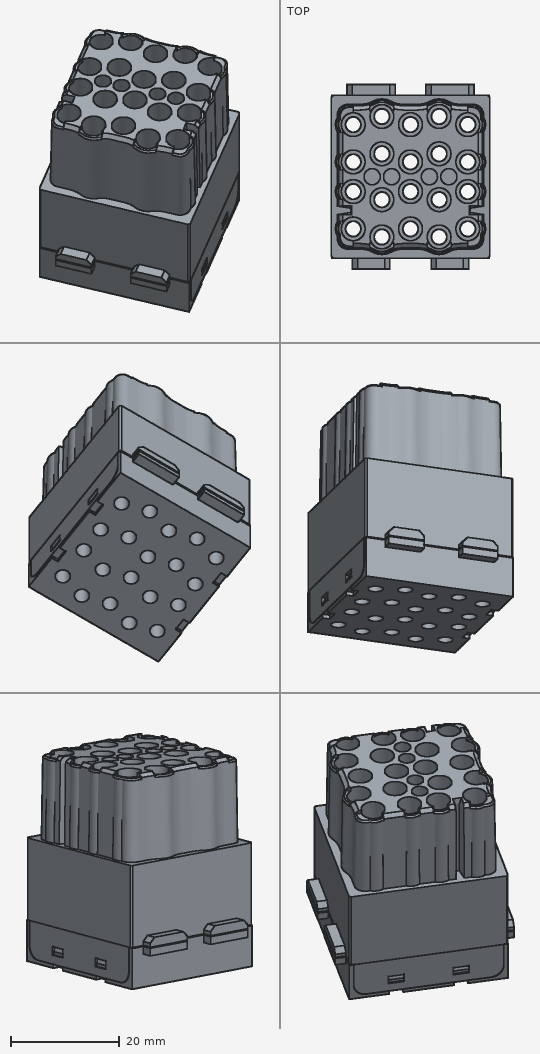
import math

import cadquery as cq

BOX_BOTTOM_Z = 7.9
BOX_TOP_Z = 23.5
TOTAL_HEIGHT = 39.95
CAP_HEIGHT = 0.65
SHOULDER_Z = TOTAL_HEIGHT - CAP_HEIGHT

BOX_X = 29.35
BOX_Y = 30.2
BOX_CORNER_CHAMFER = 0.35
BASE_X = 29.1
SEAM_HEIGHT = 0.15
SEAM_DEPTH = 0.15

PLATE_X = 29.3
PLATE_Y = 28.5
PLATE_BOTTOM_Z = 0.75
PLATE_CORNER_RADIUS = 2.4
SNAP_Y = 6.15
WINDOW_WIDTH = 3.0
WINDOW_BOTTOM_Z = 2.5
WINDOW_TOP_Z = 4.1
WINDOW_DEPTH = 0.7
WEDGE_TIP_Z = 3.1
WEDGE_TIP_DEPTH = 0.35
NOTCH_WIDTH = 2.65
NOTCH_DEPTH = 1.5

TOTAL_Y = 34.2
TAB_X = 7.3
FRONT_TAB_WIDTH = 7.0
BACK_TAB_WIDTH = 9.0
TAB_BOTTOM_Z = 6.3
TAB_TOP_Z = 9.7
TAB_CHAMFER = 1.0

COLUMN_PITCH = 5.3
OUTER_ROWS = (2.75, 9.65)
STAGGER = 1.5
BORE_DIAMETER = 2.8
CAVITY_DIAMETER = 4.4
CAVITY_BOTTOM_Z = BOX_TOP_Z
PILOT_DIAMETER = 3.0
PILOT_OFFSET = 1.8

FLAT_X = 13.55
FLAT_Y = 13.4
CORNER_RADIUS = 2.0
SIDE_LOBE_RADIUS = 2.4
SIDE_LOBE_HALF = 1.25
END_LOBE_RADIUS = 3.3
END_LOBE_RISE = 1.0
END_LOBE_SPAN = 3.95
TOWER_DRAFT = 0.9

RIM_BEVEL = 0.8
LEDGE_CHAMFER = 0.33
LEDGE_START_X = 12.4
LEDGE_START_Y = 12.2
END_LEDGE_HALF = 2.2
SIDE_LEDGE_HALF = 1.45

SLOT_Y = -6.22
SLOT_MOUTH_WIDTH = 1.55
SLOT_FLOOR_WIDTH = 0.8
SLOT_FLOOR_X = 11.1
SLOT_FLARE_WIDTH = 1.65
SLOT_FLARE_DEPTH = 0.25
SLOT_FLARE_HEIGHT = 1.15


def block(x0, x1, y0, y1, z0, z1):
    """Axis-aligned block between opposite corners given in any order."""
    return (
        cq.Workplane("XY")
        .box(abs(x1 - x0), abs(y1 - y0), z1 - z0)
        .translate(((x0 + x1) / 2, (y0 + y1) / 2, (z0 + z1) / 2))
    )


def drill(points, diameter, bottom_z):
    """Round holes open at the top of the tower."""
    return (
        cq.Workplane("XY", origin=(0, 0, bottom_z))
        .pushPoints(points)
        .circle(diameter / 2)
        .extrude(TOTAL_HEIGHT - bottom_z)
    )


def contact_points():
    """Five columns of four contacts, odd columns staggered outward."""
    points = []
    for column in range(-2, 3):
        shift = STAGGER * (column % 2)
        for row in OUTER_ROWS:
            for side in (-1, 1):
                points.append((column * COLUMN_PITCH, side * (row + shift)))
    return points


def pilot_points():
    """A pair of small sockets flanking each odd column, on the X axis."""
    columns = (-COLUMN_PITCH, COLUMN_PITCH)
    return [(column + side * PILOT_OFFSET, 0) for column in columns for side in (-1, 1)]


def tower_outline(z):
    """Rounded rectangle with wavy ends and four bulges along each long side."""
    radius_sum = (END_LOBE_SPAN**2 + END_LOBE_RISE**2) / (2 * END_LOBE_RISE)
    angle = math.asin(END_LOBE_SPAN / radius_sum)
    dip_radius = radius_sum - END_LOBE_RADIUS
    peak_y = FLAT_Y + END_LOBE_RISE
    blend_x = END_LOBE_RADIUS * math.sin(angle)
    blend_y = peak_y - END_LOBE_RADIUS * (1 - math.cos(angle))
    dip_x = END_LOBE_SPAN - dip_radius * math.sin(angle / 2)
    dip_y = FLAT_Y + dip_radius * (1 - math.cos(angle / 2))
    sagitta = SIDE_LOBE_RADIUS - math.sqrt(SIDE_LOBE_RADIUS**2 - SIDE_LOBE_HALF**2)
    corner_x = FLAT_X - CORNER_RADIUS
    corner_y = FLAT_Y - CORNER_RADIUS
    corner_mid = CORNER_RADIUS * math.sqrt(0.5)

    wire = cq.Workplane("XY", origin=(0, 0, z)).moveTo(-corner_x, -FLAT_Y)
    for turn in (1, -1):

        def at(x, y):
            return (turn * x, turn * y)

        for lobe_x in (-COLUMN_PITCH, COLUMN_PITCH):
            wire = wire.lineTo(*at(lobe_x - END_LOBE_SPAN, -FLAT_Y))
            wire = wire.threePointArc(at(lobe_x - dip_x, -dip_y), at(lobe_x - blend_x, -blend_y))
            wire = wire.threePointArc(at(lobe_x, -peak_y), at(lobe_x + blend_x, -blend_y))
            wire = wire.threePointArc(at(lobe_x + dip_x, -dip_y), at(lobe_x + END_LOBE_SPAN, -FLAT_Y))
        wire = wire.lineTo(*at(corner_x, -FLAT_Y))
        wire = wire.threePointArc(at(corner_x + corner_mid, -corner_y - corner_mid), at(FLAT_X, -corner_y))
        for lobe_y in sorted(side * row for row in OUTER_ROWS for side in (-1, 1)):
            wire = wire.lineTo(*at(FLAT_X, lobe_y - SIDE_LOBE_HALF))
            wire = wire.threePointArc(at(FLAT_X + sagitta, lobe_y), at(FLAT_X, lobe_y + SIDE_LOBE_HALF))
        wire = wire.lineTo(*at(FLAT_X, corner_y))
        wire = wire.threePointArc(at(corner_x + corner_mid, corner_y + corner_mid), at(corner_x, FLAT_Y))
    return wire.close()


def ledge_zones():
    """Regions of the rim, outside the outermost holes, that drop to the shoulder."""
    bottom_z = SHOULDER_Z - LEDGE_CHAMFER
    reach = BOX_Y / 2
    corner_hole_x = 2 * COLUMN_PITCH
    inner_row, outer_row = OUTER_ROWS
    zones = cq.Workplane("XY")
    for sx in (-1, 1):
        for sy in (-1, 1):
            end_x = sx * COLUMN_PITCH
            zones = zones.add(
                block(end_x - END_LEDGE_HALF, end_x + END_LEDGE_HALF,
                      sy * LEDGE_START_Y, sy * reach, bottom_z, TOTAL_HEIGHT)
            )
            for row in (inner_row, outer_row):
                zones = zones.add(
                    block(sx * LEDGE_START_X, sx * reach, sy * row - SIDE_LEDGE_HALF,
                          sy * row + SIDE_LEDGE_HALF, bottom_z, TOTAL_HEIGHT)
                )
            zones = zones.add(
                block(sx * corner_hole_x, sx * reach, sy * outer_row, sy * reach, bottom_z, TOTAL_HEIGHT)
            )
    return zones.combine()


def make_tower():
    """Drafted shaft with a bevelled cap and lowered ledges beside the outermost holes."""
    shaft = tower_outline(BOX_TOP_Z).extrude(SHOULDER_Z - BOX_TOP_Z, taper=TOWER_DRAFT)
    rim_angle = math.degrees(math.atan2(RIM_BEVEL, CAP_HEIGHT))
    cap = (
        shaft.faces(">Z")
        .wires()
        .toPending()
        .workplane()
        .extrude(CAP_HEIGHT, taper=rim_angle, combine=False)
    )
    lowered = shaft.faces(">Z").chamfer(LEDGE_CHAMFER)
    return shaft.union(cap).cut(ledge_zones().cut(lowered))


def key_slot(side):
    """Slot down one side of the tower, narrowing inward and flared at the top."""
    mouth_x = side * BOX_X / 2

    def section(z, mouth_width, floor_width, floor_x):
        edge_x = side * FLAT_X
        return cq.Workplane("XY", origin=(0, 0, z)).polyline([
            (mouth_x, SLOT_Y - mouth_width / 2),
            (edge_x, SLOT_Y - mouth_width / 2),
            (side * floor_x, SLOT_Y - floor_width / 2),
            (side * floor_x, SLOT_Y + floor_width / 2),
            (edge_x, SLOT_Y + mouth_width / 2),
            (mouth_x, SLOT_Y + mouth_width / 2),
        ]).close()

    flare_z = TOTAL_HEIGHT - SLOT_FLARE_HEIGHT
    foot = section(BOX_TOP_Z, SLOT_MOUTH_WIDTH, SLOT_FLOOR_WIDTH, SLOT_FLOOR_X)
    straight = foot.extrude(flare_z - BOX_TOP_Z)
    flare_foot = section(flare_z, SLOT_MOUTH_WIDTH, SLOT_FLOOR_WIDTH, SLOT_FLOOR_X)
    flare_top = section(TOTAL_HEIGHT, SLOT_FLARE_WIDTH, SLOT_FLARE_WIDTH, SLOT_FLOOR_X - SLOT_FLARE_DEPTH)
    flare = cq.Solid.makeLoft([flare_foot.wires().val(), flare_top.wires().val()], True)
    return straight.union(cq.Workplane(flare))


def make_housing():
    """Chamfered upper box on a slightly narrower base with raised side plates."""
    box = (
        cq.Workplane("XY", origin=(0, 0, BOX_BOTTOM_Z))
        .rect(BOX_X, BOX_Y)
        .extrude(BOX_TOP_Z - BOX_BOTTOM_Z)
        .edges("|Z")
        .chamfer(BOX_CORNER_CHAMFER)
    )
    base = cq.Workplane("XY").rect(BASE_X, BOX_Y).extrude(BOX_BOTTOM_Z)
    plates = (
        block(-PLATE_X / 2, PLATE_X / 2, -PLATE_Y / 2, PLATE_Y / 2, PLATE_BOTTOM_Z, BOX_BOTTOM_Z)
        .edges("|X and <Z")
        .fillet(PLATE_CORNER_RADIUS)
    )
    return box.union(base).union(plates)


def make_tabs(side, width):
    """Pair of latch tabs with bevelled upper corners on one end of the housing."""
    half = width / 2
    tabs = cq.Workplane("XY")
    for x in (-TAB_X, TAB_X):
        tabs = tabs.add(
            block(x - half, x + half, 0, side * TOTAL_Y / 2, TAB_BOTTOM_Z, TAB_TOP_Z)
            .edges("|Y and >Z")
            .chamfer(TAB_CHAMFER)
        )
    return tabs.combine()


def seam_groove():
    """Shallow groove around the base top, between the side plates and around the tabs."""
    seam_z = BOX_BOTTOM_Z - SEAM_HEIGHT
    core_half_y = BOX_Y / 2 - SEAM_DEPTH
    tab_half_y = TOTAL_Y / 2 - SEAM_DEPTH
    core = block(-BASE_X / 2, BASE_X / 2, -core_half_y, core_half_y, seam_z, BOX_BOTTOM_Z)
    ring = block(-BOX_X / 2, BOX_X / 2, -TOTAL_Y / 2, TOTAL_Y / 2, seam_z, BOX_BOTTOM_Z).cut(core)
    for side, width in ((-1, FRONT_TAB_WIDTH), (1, BACK_TAB_WIDTH)):
        for x in (-TAB_X, TAB_X):
            half = width / 2 - SEAM_DEPTH
            ring = ring.cut(block(x - half, x + half, 0, side * tab_half_y, seam_z, BOX_BOTTOM_Z))
    plates = block(-BOX_X / 2, BOX_X / 2, -PLATE_Y / 2, PLATE_Y / 2, seam_z, BOX_BOTTOM_Z)
    return ring.cut(plates)


def snap_cut(side, y):
    """Snap window with a wedge inside, and the notch below it, on one side plate."""
    face_x = BOX_X / 2
    profile = [
        (face_x, WINDOW_BOTTOM_Z),
        (face_x - WEDGE_TIP_DEPTH, WINDOW_BOTTOM_Z),
        (face_x - WEDGE_TIP_DEPTH, WEDGE_TIP_Z),
        (face_x - WINDOW_DEPTH, WINDOW_TOP_Z),
        (face_x, WINDOW_TOP_Z),
    ]
    window = (
        cq.Workplane("XZ", origin=(0, y, 0))
        .polyline([(side * x, z) for x, z in profile])
        .close()
        .extrude(WINDOW_WIDTH / 2, both=True)
    )
    notch = block(side * face_x, side * (face_x - NOTCH_DEPTH), y - NOTCH_WIDTH / 2,
                  y + NOTCH_WIDTH / 2, 0, PLATE_BOTTOM_Z)
    return window.union(notch)


result = make_housing().union(make_tower())
result = result.union(make_tabs(-1, FRONT_TAB_WIDTH)).union(make_tabs(1, BACK_TAB_WIDTH))
result = result.cut(seam_groove())
for x_side in (-1, 1):
    result = result.cut(key_slot(x_side))
    for snap_y in (-SNAP_Y, SNAP_Y):
        result = result.cut(snap_cut(x_side, snap_y))
result = result.cut(drill(contact_points(), CAVITY_DIAMETER, CAVITY_BOTTOM_Z))
result = result.cut(drill(contact_points(), BORE_DIAMETER, 0))
result = result.cut(drill(pilot_points(), PILOT_DIAMETER, CAVITY_BOTTOM_Z))